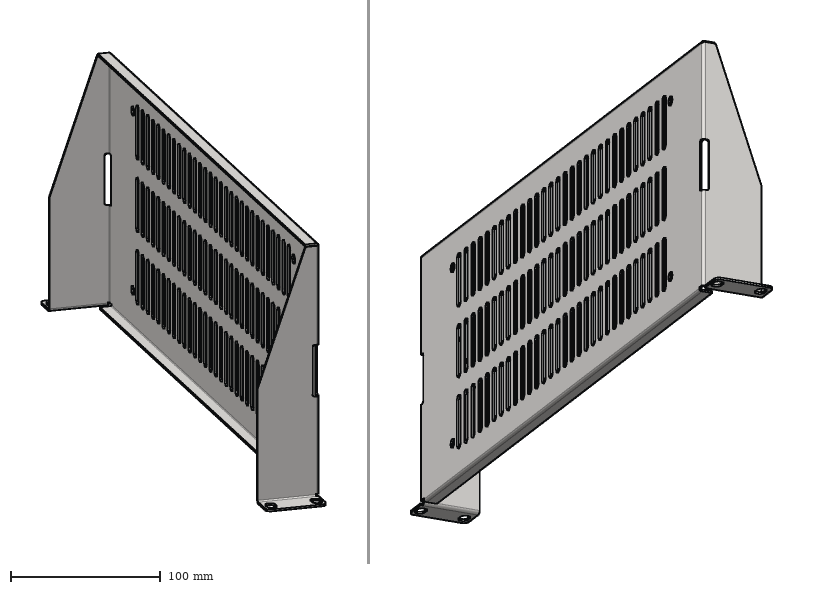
import cadquery as cq

LENGTH = 483.0
DEPTH = 43.5
HEIGHT = 178.0

SHEET = 1.5
INNER_BEND = 0.5
OUTER_BEND = INNER_BEND + SHEET

BODY_WIDTH = 444.0
WALL_TOP = HEIGHT - SHEET
WALL_FRONT_HEIGHT = 80.0
WALL_TOP_DEPTH = 9.0

FLANGE_DEPTH = 9.5
TOP_FLANGE_WIDTH = BODY_WIDTH - 2 * SHEET
BOTTOM_FLANGE_WIDTH = 432.5

EAR_BACK = 42.5
EAR_INNER_BEND = 1.0
EAR_OUTER_BEND = EAR_INNER_BEND + SHEET
EAR_BEND_BACK = DEPTH - EAR_OUTER_BEND
EAR_CORNER = 4.0
EAR_SLOT_LENGTH = 10.0
EAR_SLOT_WIDTH = 7.0
EAR_SLOT_X = 233.0
EAR_SLOT_SPACING = 32.0
EAR_SLOT_FRONT_Y = 6.0

VENT_COLUMNS = 30
VENT_ROWS = 3
VENT_PITCH_X = 11.0
VENT_PITCH_Z = 50.5
VENT_LENGTH = 38.0
VENT_WIDTH = 6.0

HOLE_DIAMETER = 6.5
HOLE_SPACING_X = 342.0
HOLE_SPACING_Z = 125.5

WINDOW_HEIGHT = 36.0
WINDOW_REACH = 5.0
WINDOW_CORNER = 2.0


def block(x_range, y_range, z_range):
    """Box between the given limits along each axis."""
    size = [high - low for low, high in (x_range, y_range, z_range)]
    corner = (x_range[0], y_range[0], z_range[0])
    return cq.Workplane("XY").box(*size, centered=False).translate(corner)


def both_sides(half):
    """Add the mirror image on the other side of the YZ plane."""
    return half.union(half.mirror("YZ"))


def wall_channel():
    """Back sheet folded forward into two side walls with sloping front edges."""
    half = BODY_WIDTH / 2
    inner_half = half - SHEET
    z_range = (EAR_OUTER_BEND, WALL_TOP)
    outer = block((-half, half), (0, DEPTH), z_range).edges("|Z and >Y").fillet(OUTER_BEND)
    inner = block((-inner_half, inner_half), (0, DEPTH - SHEET), z_range)
    inner = inner.edges("|Z and >Y").fillet(INNER_BEND)
    side_outline = (
        cq.Workplane("YZ")
        .polyline([
            (0, 0),
            (DEPTH, 0),
            (DEPTH, HEIGHT),
            (DEPTH - WALL_TOP_DEPTH, HEIGHT),
            (0, WALL_FRONT_HEIGHT),
        ])
        .close()
        .extrude(half, both=True)
    )
    top_gap = block(
        (-inner_half, inner_half), (0, DEPTH), (HEIGHT - OUTER_BEND, HEIGHT)
    )
    return outer.cut(inner).intersect(side_outline).cut(top_gap)


def flanged_panel():
    """Back panel with its top and bottom edges folded forward."""
    half = TOP_FLANGE_WIDTH / 2
    front = DEPTH - FLANGE_DEPTH
    outer = block((-half, half), (front, DEPTH), (0, HEIGHT)).edges("|X and >Y").fillet(OUTER_BEND)
    inner = block((-half, half), (front, DEPTH - SHEET), (SHEET, HEIGHT - SHEET))
    inner = inner.edges("|X and >Y").fillet(INNER_BEND)
    bottom_relief = block((BOTTOM_FLANGE_WIDTH / 2, half), (front, DEPTH), (0, EAR_OUTER_BEND))
    fold_start = BODY_WIDTH / 2 - OUTER_BEND
    fold_space = block((fold_start, half), (front, DEPTH), (0, HEIGHT - OUTER_BEND))
    return outer.cut(inner).cut(both_sides(bottom_relief)).cut(both_sides(fold_space))


def right_ear():
    """Foot folded outward from the bottom of the right wall, with two mounting slots."""
    wall_outside = BODY_WIDTH / 2
    wall_inside = wall_outside - SHEET
    fold_end = wall_inside + EAR_OUTER_BEND
    fold = (
        cq.Workplane("XZ")
        .moveTo(wall_inside, EAR_OUTER_BEND)
        .radiusArc((fold_end, 0), -EAR_OUTER_BEND)
        .lineTo(fold_end, SHEET)
        .radiusArc((wall_outside, EAR_OUTER_BEND), EAR_INNER_BEND)
        .close()
        .extrude(-EAR_BEND_BACK)
    )
    foot = block((fold_end, LENGTH / 2), (0, EAR_BACK), (0, SHEET))
    foot = foot.edges("|Z and >X").fillet(EAR_CORNER)
    slots = (
        cq.Workplane("XY")
        .pushPoints([
            (EAR_SLOT_X, EAR_SLOT_FRONT_Y),
            (EAR_SLOT_X, EAR_SLOT_FRONT_Y + EAR_SLOT_SPACING),
        ])
        .slot2D(EAR_SLOT_LENGTH, EAR_SLOT_WIDTH)
        .extrude(SHEET)
    )
    return fold.union(foot).cut(slots)


def panel_openings():
    """Cutters for the ventilation slots and the four round holes."""
    panel = cq.Workplane("XZ", origin=(0, 0, HEIGHT / 2))
    vents = (
        panel.rarray(VENT_PITCH_X, VENT_PITCH_Z, VENT_COLUMNS, VENT_ROWS)
        .slot2D(VENT_LENGTH, VENT_WIDTH, 90)
        .extrude(-DEPTH)
    )
    holes = (
        panel.rarray(HOLE_SPACING_X, HOLE_SPACING_Z, 2, 2)
        .circle(HOLE_DIAMETER / 2)
        .extrude(-DEPTH)
    )
    return vents.add(holes).combine()


def right_window():
    """Cutter for the window through the right fold, with rounded corners in both faces."""
    half = BODY_WIDTH / 2
    z_range = ((HEIGHT - WINDOW_HEIGHT) / 2, (HEIGHT + WINDOW_HEIGHT) / 2)
    in_panel = block((half - WINDOW_REACH, half), (DEPTH - SHEET, DEPTH), z_range)
    in_panel = in_panel.edges("|Y and <X").fillet(WINDOW_CORNER)
    in_wall = block((half - SHEET, half), (DEPTH - WINDOW_REACH, DEPTH), z_range)
    in_wall = in_wall.edges("|X and <Y").fillet(WINDOW_CORNER)
    in_fold = block((half - OUTER_BEND, half), (DEPTH - OUTER_BEND, DEPTH), z_range)
    return in_panel.union(in_wall).union(in_fold)


shelf = wall_channel().union(flanged_panel()).union(both_sides(right_ear()))
result = shelf.cut(panel_openings()).cut(both_sides(right_window()))